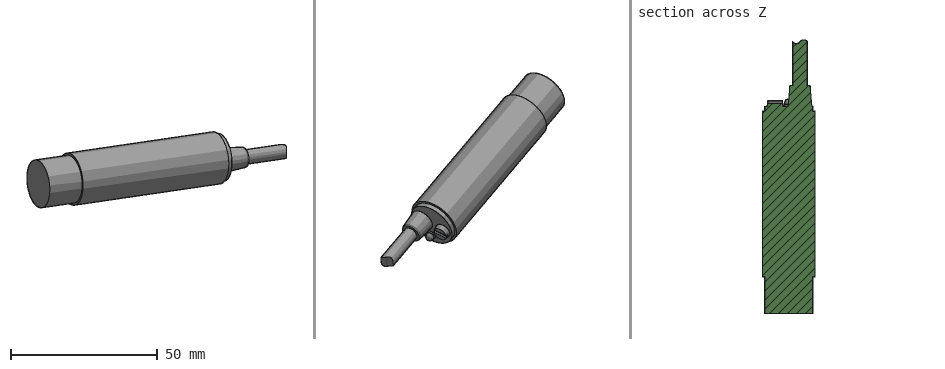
import cadquery as cq


length = 93.2
body_diameter = 18.0
nose_diameter = 16.5
nose_length = 12.5
cap_face_y = 70.5
cap_thickness = 1.7

cable_x = 3.8
cable_diameter = 5.0
wave_height = 0.65
boot_base_diameter = 8.3
boot_tip_diameter = 7.2
boot_length = 7.1
boot_edge_length = 0.6
boot_edge_width = 0.2

adjuster_x = -4.7
adjuster_base_diameter = 5.6
adjuster_tip_diameter = 5.0
adjuster_height = 2.0
slot_width = 1.0
slot_depth = 0.9

lamp_z = -5.2
lamp_collar_diameter = 3.1
lamp_collar_height = 0.65
lamp_diameter = 3.0
lamp_dome_start = 1.0


def cylinder(diameter, start_y, end_y, x=0.0, z=0.0):
    """Cylinder parallel to Y between two stations."""
    height = end_y - start_y
    solid = cq.Solid.makeCylinder(diameter / 2, height, cq.Vector(x, start_y, z), cq.Vector(0, 1, 0))
    return cq.Workplane(obj=solid)


def cone(base_diameter, tip_diameter, start_y, height, x):
    """Truncated cone parallel to Y, centred on Z = 0."""
    origin = cq.Vector(x, start_y, 0)
    solid = cq.Solid.makeCone(base_diameter / 2, tip_diameter / 2, height, origin, cq.Vector(0, 1, 0))
    return cq.Workplane(obj=solid)


def make_housing():
    shoulder_y = cap_face_y - cap_thickness
    core = cylinder(nose_diameter, 0, cap_face_y)
    return core.union(cylinder(body_diameter, nose_length, shoulder_y))


def make_cable():
    """Cable whose end is cut along an S-shaped wave, straight through in Z."""
    radius = cable_diameter / 2
    left = cable_x - radius
    right = cable_x + radius
    mean_y = length - wave_height
    profile = (
        cq.Workplane("XY")
        .moveTo(left, cap_face_y)
        .lineTo(left, mean_y)
        .threePointArc((cable_x - radius / 2, mean_y - wave_height), (cable_x, mean_y))
        .threePointArc((cable_x + radius / 2, length), (right, mean_y))
        .lineTo(right, cap_face_y)
        .close()
        .extrude(radius, both=True)
    )
    return cylinder(cable_diameter, cap_face_y, length, cable_x).intersect(profile)


def make_boot():
    taper_length = boot_length - boot_edge_length
    edge_diameter = boot_tip_diameter - 2 * boot_edge_width
    taper = cone(boot_base_diameter, boot_tip_diameter, cap_face_y, taper_length, cable_x)
    edge_y = cap_face_y + taper_length
    edge = cone(boot_tip_diameter, edge_diameter, edge_y, boot_edge_length, cable_x)
    return taper.union(edge)


def make_adjuster():
    top_y = cap_face_y + adjuster_height
    knob = cone(adjuster_base_diameter, adjuster_tip_diameter, cap_face_y, adjuster_height, adjuster_x)
    slot = (
        cq.Workplane("XY")
        .box(adjuster_base_diameter, slot_depth, slot_width)
        .translate((adjuster_x, top_y - slot_depth / 2, 0))
    )
    return knob.cut(slot)


def make_lamp():
    dome_y = cap_face_y + lamp_dome_start
    collar = cylinder(lamp_collar_diameter, cap_face_y, cap_face_y + lamp_collar_height, z=lamp_z)
    stem = cylinder(lamp_diameter, cap_face_y, dome_y, z=lamp_z)
    dome = cq.Workplane("XY").sphere(lamp_diameter / 2).translate((0, dome_y, lamp_z))
    return collar.union(stem).union(dome)


result = make_housing()
for feature in (make_cable(), make_boot(), make_adjuster(), make_lamp()):
    result = result.union(feature)